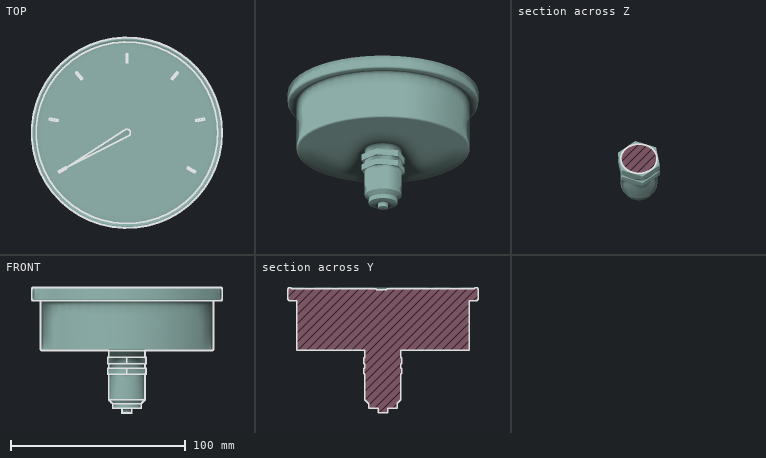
import cadquery as cq
import math

total_height = 71.97

bezel_diameter = 109.0
bezel_height = 7.77
edge_radius = 1.0
case_diameter = 99.0
case_bottom_z = 35.72

dial_radius = 51.9
rim_slope = 30.0

graphic_depth = 0.5
mark_length = 5.0
mark_width = 1.0
mark_outer_radius = 45.0
mark_step = 40.0
mark_count = 7
first_mark_angle = 210.0
pointer_hub_radius = 2.0
pointer_length = 39.0

tip_diameter = 5.8
pilot_diameter = 16.4
stem_diameter = 20.955
pilot_bottom_z = 2.72
pilot_top_z = 5.4
cone_top_z = 7.7

hex_across_flats = 22.0
lower_hex_z = 22.3
lower_hex_height = 3.4
upper_hex_z = 28.2
upper_hex_height = 3.7

bezel_radius = bezel_diameter / 2
case_radius = case_diameter / 2
bezel_bottom_z = total_height - bezel_height
slope = math.radians(rim_slope)
crest_radius = bezel_radius - edge_radius
crest_center_z = total_height - edge_radius
cone_start_radius = crest_radius - edge_radius * math.sin(slope)
cone_start_z = crest_center_z + edge_radius * math.cos(slope)
dial_z = cone_start_z - (cone_start_radius - dial_radius) * math.tan(slope)
mark_inner_radius = mark_outer_radius - mark_length


def make_housing():
    """Revolve the stem, case, bezel and recessed dial in one profile."""
    diagonal = edge_radius * (1 - math.sqrt(0.5))
    profile = (
        cq.Workplane("XZ")
        .lineTo(tip_diameter / 2, 0)
        .lineTo(tip_diameter / 2, pilot_bottom_z)
        .lineTo(pilot_diameter / 2, pilot_bottom_z)
        .lineTo(pilot_diameter / 2, pilot_top_z)
        .lineTo(stem_diameter / 2, cone_top_z)
        .lineTo(stem_diameter / 2, case_bottom_z)
        .lineTo(case_radius - edge_radius, case_bottom_z)
        .threePointArc(
            (case_radius - diagonal, case_bottom_z + diagonal),
            (case_radius, case_bottom_z + edge_radius),
        )
        .lineTo(case_radius, bezel_bottom_z)
        .lineTo(bezel_radius - edge_radius, bezel_bottom_z)
        .threePointArc(
            (bezel_radius - diagonal, bezel_bottom_z + diagonal),
            (bezel_radius, bezel_bottom_z + edge_radius),
        )
        .lineTo(bezel_radius, crest_center_z)
        .threePointArc((crest_radius, total_height), (cone_start_radius, cone_start_z))
        .lineTo(dial_radius, dial_z)
        .lineTo(0, dial_z)
        .close()
    )
    return profile.revolve(360, (0, 0, 0), (0, 1, 0))


def make_hexagon(bottom_z, height):
    """Hexagon with corners on the Y axis and flats facing X."""
    across_corners = hex_across_flats / math.cos(math.radians(30))
    return (
        cq.Workplane("XY", origin=(0, 0, bottom_z))
        .transformed(rotate=(0, 0, 90))
        .polygon(6, across_corners)
        .extrude(height)
    )


def make_mark(angle):
    """Radial scale mark, as the volume to remove below the dial surface."""
    mark = (
        cq.Workplane("XY", origin=(0, 0, dial_z))
        .center((mark_inner_radius + mark_outer_radius) / 2, 0)
        .rect(mark_length, mark_width)
        .extrude(-graphic_depth)
    )
    return mark.rotate((0, 0, 0), (0, 0, 1), angle)


def make_pointer():
    """Pointer volume to remove: round hub with tangent sides that meet just short of the first mark."""
    tangent_x = pointer_hub_radius**2 / pointer_length
    tangent_y = math.sqrt(pointer_hub_radius**2 - tangent_x**2)
    pointer = (
        cq.Workplane("XY", origin=(0, 0, dial_z))
        .moveTo(pointer_length, 0)
        .lineTo(tangent_x, tangent_y)
        .threePointArc((-pointer_hub_radius, 0), (tangent_x, -tangent_y))
        .close()
        .extrude(-graphic_depth)
    )
    return pointer.rotate((0, 0, 0), (0, 0, 1), first_mark_angle)


result = make_housing()
result = result.union(make_hexagon(lower_hex_z, lower_hex_height))
result = result.union(make_hexagon(upper_hex_z, upper_hex_height))
for index in range(mark_count):
    result = result.cut(make_mark(first_mark_angle - index * mark_step))
result = result.cut(make_pointer())